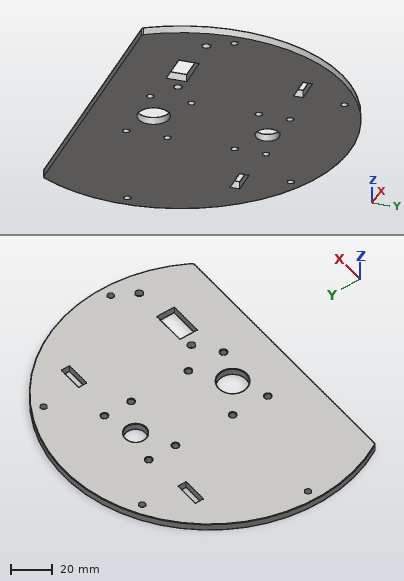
import cadquery as cq
import math

disc_diameter = 172.9
plate_depth = 131.2
plate_thickness = 4.0
top_chamfer = 0.3
corner_chamfer = 0.7
disc_radius = disc_diameter / 2
flat_y = disc_radius - plate_depth
flat_half_length = math.sqrt(disc_radius**2 - flat_y**2)

rim_hole_diameter = 3.5
rim_circle_radius = 80.0
rim_hole_angles = (0, 60, 120, 180)

screw_hole_diameter = 3.5
bore_screw_spacing_x = 36.0
hole_chamfer = 0.3
upper_bore_diameter = 12.0
upper_bore_y = 44.0
upper_screw_rows = (49.3, 33.4)
lower_bore_diameter = 16.0
lower_bore_y = -13.8
lower_screw_rows = (-0.7, -21.6)

slot_length = 14.0
slot_width = 4.8
slot_x = 47.4
slot_y = 45.8

window_length = 18.7
window_width = 10.4
window_x = 46.5
window_y = -14.9
window_hole_diameter = 4.1
window_hole_y = -12.0
window_holes_middle_x = 52.0
window_hole_spacing = 42.4


def make_plate():
    return (
        cq.Workplane("XY")
        .moveTo(-flat_half_length, flat_y)
        .threePointArc((0, disc_radius), (flat_half_length, flat_y))
        .close()
        .extrude(plate_thickness)
        .edges("|Z")
        .chamfer(corner_chamfer)
        .faces(">Z")
        .edges()
        .chamfer(top_chamfer)
    )


def round_cutters(points, diameter):
    return cq.Workplane("XY").pushPoints(points).circle(diameter / 2).extrude(plate_thickness)


def chamfered_cutters(points, diameter):
    top_rim = cq.Workplane("XY").workplane(offset=plate_thickness - hole_chamfer).pushPoints(points)
    flare = top_rim.circle(diameter / 2).extrude(hole_chamfer, taper=-45)
    return round_cutters(points, diameter).union(flare)


def rectangular_cutters(points, length, width):
    return cq.Workplane("XY").pushPoints(points).rect(length, width).extrude(plate_thickness)


def cut_bore_group(plate, bore_y, bore_diameter, screw_rows):
    screw_points = [(side * bore_screw_spacing_x / 2, y) for side in (-1, 1) for y in screw_rows]
    plate = plate.cut(chamfered_cutters([(0, bore_y)], bore_diameter))
    return plate.cut(chamfered_cutters(screw_points, screw_hole_diameter))


def cut_rim_holes(plate):
    angles = [math.radians(angle) for angle in rim_hole_angles]
    points = [(rim_circle_radius * math.cos(a), rim_circle_radius * math.sin(a)) for a in angles]
    return plate.cut(round_cutters(points, rim_hole_diameter))


def cut_slots(plate):
    return plate.cut(rectangular_cutters([(-slot_x, slot_y), (slot_x, slot_y)], slot_length, slot_width))


def cut_window(plate):
    hole_points = [
        (window_holes_middle_x + side * window_hole_spacing / 2, window_hole_y) for side in (-1, 1)
    ]
    plate = plate.cut(rectangular_cutters([(window_x, window_y)], window_length, window_width))
    return plate.cut(round_cutters(hole_points, window_hole_diameter))


result = make_plate()
result = cut_rim_holes(result)
result = cut_bore_group(result, upper_bore_y, upper_bore_diameter, upper_screw_rows)
result = cut_bore_group(result, lower_bore_y, lower_bore_diameter, lower_screw_rows)
result = cut_slots(result)
result = cut_window(result)